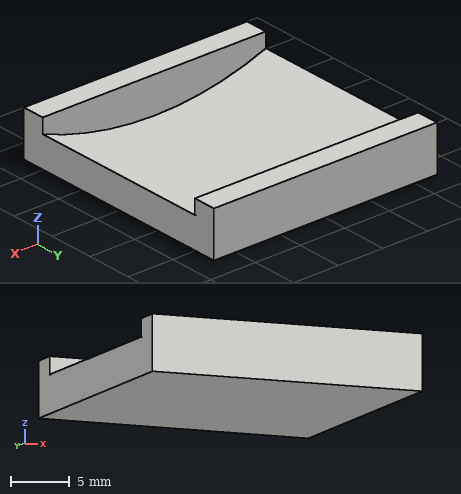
import cadquery as cq

side = 25.0
height = 5.0

wall = 2.5
edge_depth = 1.6
saddle_radius = 34.5

saddle_width = side - 2 * wall
half_side = side / 2
edge_height = height - edge_depth

axis_height = edge_height + (saddle_radius**2 - half_side**2) ** 0.5
floor_height = axis_height - saddle_radius

block = cq.Workplane("XY").box(side, side, height, centered=(True, True, False))

saddle = (
    cq.Workplane("XZ")
    .moveTo(-half_side, height)
    .lineTo(-half_side, edge_height)
    .threePointArc((0, floor_height), (half_side, edge_height))
    .lineTo(half_side, height)
    .close()
    .extrude(saddle_width / 2, both=True)
)

result = block.cut(saddle)